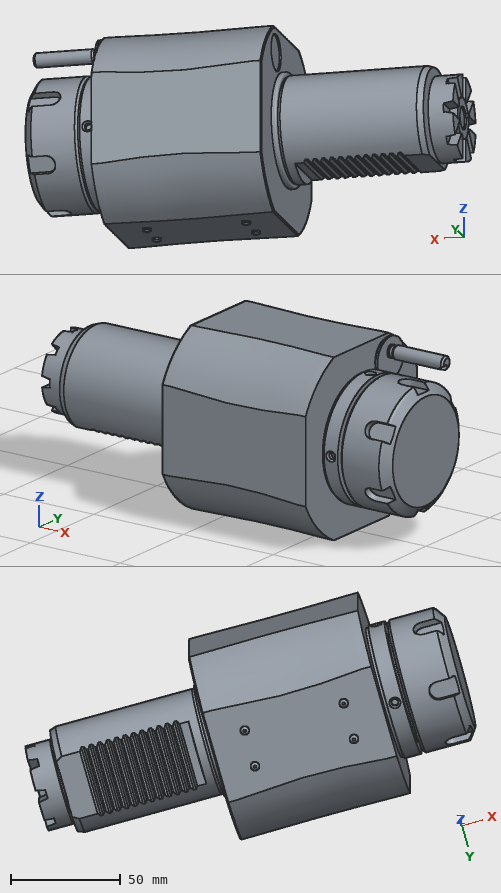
import cadquery as cq
import math

TOTAL_LENGTH = 200.0

COUPLING_RADIUS = 20.0
COUPLING_LENGTH = 11.6
COUPLING_NECK_RADIUS = 14.6
TOOTH_SLOTS = 8
SLOT_MOUTH_WIDTH = 5.6
SLOT_FLOOR_WIDTH = 4.0
SLOT_DEPTH = 4.5
HUB_RADIUS = 9.6
HUB_RECESS = 0.6
CENTRE_HOLE_RADIUS = 5.5
CENTRE_HOLE_DEPTH = 0.8

SHANK_START = 12.8
SHANK_END = 81.5
SHANK_RADIUS = 25.0
SHANK_LEAD_LENGTH = 3.0
SHANK_LEAD_DEPTH = 1.0
SHANK_END_BEVEL_LENGTH = 1.2
SHANK_END_BEVEL_DEPTH = 0.6
FLANGE_RADIUS = 26.8
FLANGE_ROUNDING = 1.0

RACK_FLAT_Z = -20.0
RACK_FLAT_END = 75.8
RACK_GROOVES = 12
RACK_PITCH = 4.0
FIRST_GROOVE_X = 26.0
GROOVE_MOUTH_WIDTH = 3.2
GROOVE_FLOOR_WIDTH = 1.0
GROOVE_DEPTH = 1.2

BODY_START = 83.8
BODY_END = 164.0
BODY_WIDTH = 88.0
BODY_CORNER_RADIUS = 49.0
BODY_WAIST_RADIUS = 48.2
BODY_END_BAND = 4.5
BODY_CHAMFER = 0.6

PLUG_Y = 18.5
PLUG_Z = 32.0
PLUG_RADIUS = 8.6
PLUG_RECESS = 0.8
WASHER_Y = 20.5
WASHER_Z = 32.6
WASHER_RADIUS = 10.5
WASHER_BACK_RADIUS = 9.6
WASHER_THICKNESS = 2.0
PIPE_Y = 20.8
PIPE_Z = 35.8
PIPE_RADIUS = 3.5
PIPE_NECK_RADIUS = 2.8
PIPE_ROOT_RADIUS = 3.2
PIPE_ROOT_END = 166.9
PIPE_START = 168.5
PIPE_END = 197.0
PIPE_BEVEL = 1.0
OUTLET_RADIUS = 1.8
OUTLET_DEPTH = 3.0

STUD_X = (100.7, 147.5)
STUD_Y = (-8.6, 8.6)
STUD_RADIUS = 2.0
STUD_TIP_RADIUS = 0.6
STUD_HEIGHT = 1.6

NUT_RADIUS = 31.5
COLLAR_NECK_RADIUS = 30.6
COLLAR_START = 165.5
COLLAR_END = 173.0
NUT_NECK_RADIUS = 25.6
NUT_START = 174.3
NUT_BACK_BEVEL = 1.2
NUT_EDGE_START = 196.0
NUT_CONE_START = 197.0
NUT_CONE_RADIUS = 30.5
NUT_FACE_RADIUS = 26.2
COLLAR_HOLES = 4
COLLAR_HOLE_X = (COLLAR_START + COLLAR_END) / 2
COLLAR_HOLE_RADIUS = 1.6
COLLAR_HOLE_MOUTH_RADIUS = 2.6
COLLAR_HOLE_DEPTH = 3.0
NUT_SLOTS = 6
NUT_SLOT_WIDTH = 8.5
NUT_SLOT_START = 185.7
LONG_SLOT_START = 183.3
LONG_SLOT_INDEX = 5
NUT_SLOT_FLOOR = 27.8

OVERLAP = 2.0


def turned(profile):
    """Solid of revolution about X from (x, radius) points that start and end on the axis."""
    return cq.Workplane("XY").polyline(profile).close().revolve(360, (0, 0, 0), (1, 0, 0))


def rod(start, end, radius, y=0.0, z=0.0):
    """Cylinder parallel to X."""
    return cq.Workplane("YZ", origin=(start, y, z)).circle(radius).extrude(end - start)


def about_axis(shape, angle):
    """Copy of a shape turned about X."""
    return shape.rotate((0, 0, 0), (1, 0, 0), angle)


def trapezoid(mouth, floor, depth):
    """Tapered groove section as (across, inward) points, carried past the mouth."""
    flare = (mouth - floor) / 2 * OVERLAP / depth
    outer = mouth / 2 + flare
    return [(-outer, -OVERLAP), (outer, -OVERLAP), (floor / 2, depth), (-floor / 2, depth)]


def make_coupling():
    coupling = rod(0, COUPLING_LENGTH, COUPLING_RADIUS)
    coupling = coupling.union(rod(COUPLING_LENGTH, SHANK_START + OVERLAP, COUPLING_NECK_RADIUS))
    section = [(inward, across) for across, inward in
               trapezoid(SLOT_MOUTH_WIDTH, SLOT_FLOOR_WIDTH, SLOT_DEPTH)]
    slot = cq.Workplane("XY").polyline(section).close().extrude(COUPLING_RADIUS + OVERLAP)
    slot = slot.cut(rod(-OVERLAP, SLOT_DEPTH + OVERLAP, HUB_RADIUS))
    for i in range(TOOTH_SLOTS):
        coupling = coupling.cut(about_axis(slot, i * 360 / TOOTH_SLOTS))
    coupling = coupling.cut(rod(0, HUB_RECESS, HUB_RADIUS))
    return coupling.cut(rod(0, HUB_RECESS + CENTRE_HOLE_DEPTH, CENTRE_HOLE_RADIUS))


def make_shank():
    bevel_start = SHANK_END - SHANK_END_BEVEL_LENGTH
    shank = turned([
        (SHANK_START, 0),
        (SHANK_START, SHANK_RADIUS - SHANK_LEAD_DEPTH),
        (SHANK_START + SHANK_LEAD_LENGTH, SHANK_RADIUS),
        (bevel_start, SHANK_RADIUS),
        (SHANK_END, SHANK_RADIUS - SHANK_END_BEVEL_DEPTH),
        (SHANK_END, 0),
    ])
    flat = cq.Workplane("XY").box(
        RACK_FLAT_END, 2 * SHANK_RADIUS, SHANK_RADIUS, centered=(False, True, False)
    ).translate((0, 0, RACK_FLAT_Z - SHANK_RADIUS))
    shank = shank.cut(flat)

    section = trapezoid(GROOVE_MOUTH_WIDTH, GROOVE_FLOOR_WIDTH, GROOVE_DEPTH)
    for i in range(RACK_GROOVES):
        groove_x = FIRST_GROOVE_X + i * RACK_PITCH
        groove = cq.Workplane("XZ", origin=(groove_x, 0, RACK_FLAT_Z)).polyline(section).close()
        shank = shank.cut(groove.extrude(SHANK_RADIUS, both=True))

    flange = rod(SHANK_END, BODY_START + OVERLAP, FLANGE_RADIUS)
    return shank.union(flange.faces("<X").edges().fillet(FLANGE_ROUNDING))


def make_body():
    """Square block whose corners are turned round and slightly waisted between two end bands."""
    middle = (BODY_START + BODY_END) / 2
    turned_corners = (
        cq.Workplane("XY")
        .moveTo(BODY_START, 0)
        .lineTo(BODY_START, BODY_CORNER_RADIUS)
        .lineTo(BODY_START + BODY_END_BAND, BODY_CORNER_RADIUS)
        .threePointArc((middle, BODY_WAIST_RADIUS), (BODY_END - BODY_END_BAND, BODY_CORNER_RADIUS))
        .lineTo(BODY_END, BODY_CORNER_RADIUS)
        .lineTo(BODY_END, 0)
        .close()
        .revolve(360, (0, 0, 0), (1, 0, 0))
    )
    block = cq.Workplane("XY").box(BODY_END - BODY_START, BODY_WIDTH, BODY_WIDTH).translate((middle, 0, 0))
    body = block.intersect(turned_corners).faces("<X").edges().chamfer(BODY_CHAMFER)
    return body.cut(rod(BODY_START, BODY_START + PLUG_RECESS, PLUG_RADIUS, PLUG_Y, PLUG_Z))


def make_studs():
    root_z = -BODY_WIDTH / 2
    profile = [
        (0, root_z + OVERLAP),
        (STUD_RADIUS, root_z + OVERLAP),
        (STUD_RADIUS, root_z - STUD_HEIGHT / 2),
        (STUD_TIP_RADIUS, root_z - STUD_HEIGHT),
        (0, root_z - STUD_HEIGHT),
    ]
    stud = cq.Workplane("XZ").polyline(profile).close().revolve(360, (0, 0, 0), (0, 1, 0))
    studs = cq.Workplane("XY")
    for x in STUD_X:
        for y in STUD_Y:
            studs = studs.add(stud.translate((x, y, 0)))
    return studs.combine()


def make_coolant_pipe():
    washer = turned([
        (BODY_END - OVERLAP, 0),
        (BODY_END - OVERLAP, WASHER_BACK_RADIUS),
        (BODY_END, WASHER_BACK_RADIUS),
        (BODY_END + WASHER_THICKNESS / 2, WASHER_RADIUS),
        (BODY_END + WASHER_THICKNESS, WASHER_RADIUS),
        (BODY_END + WASHER_THICKNESS, 0),
    ]).translate((0, WASHER_Y, WASHER_Z))
    pipe = turned([
        (BODY_END - OVERLAP, 0),
        (BODY_END - OVERLAP, PIPE_ROOT_RADIUS),
        (PIPE_ROOT_END, PIPE_ROOT_RADIUS),
        (PIPE_ROOT_END, PIPE_NECK_RADIUS),
        (PIPE_START, PIPE_NECK_RADIUS),
        (PIPE_START + PIPE_BEVEL, PIPE_RADIUS),
        (PIPE_END - PIPE_BEVEL, PIPE_RADIUS),
        (PIPE_END, PIPE_RADIUS - PIPE_BEVEL),
        (PIPE_END, 0),
    ]).translate((0, PIPE_Y, PIPE_Z))

    axis_distance = math.hypot(PIPE_Y, PIPE_Z)
    inward_y = -PIPE_Y / axis_distance
    inward_z = -PIPE_Z / axis_distance
    corner = cq.Vector(PIPE_END, PIPE_Y + PIPE_RADIUS * inward_y, PIPE_Z + PIPE_RADIUS * inward_z)
    outward = cq.Vector(1, inward_y, inward_z).normalized()
    outlet = cq.Solid.makeCylinder(
        OUTLET_RADIUS, OUTLET_DEPTH + OVERLAP, corner - outward * OUTLET_DEPTH, outward
    )
    return washer.union(pipe.cut(cq.Workplane(outlet)))


def make_spanner_slot(start):
    """Cutter with a flat floor and a round inner end, open towards the nut face."""
    half_width = NUT_SLOT_WIDTH / 2
    return (
        cq.Workplane("XY", origin=(0, 0, NUT_SLOT_FLOOR))
        .moveTo(TOTAL_LENGTH, -half_width)
        .lineTo(start + half_width, -half_width)
        .threePointArc((start, 0), (start + half_width, half_width))
        .lineTo(TOTAL_LENGTH, half_width)
        .close()
        .extrude(NUT_RADIUS - NUT_SLOT_FLOOR + OVERLAP)
    )


def make_collet_nut():
    nut = turned([
        (BODY_END - OVERLAP, 0),
        (BODY_END - OVERLAP, COLLAR_NECK_RADIUS),
        (COLLAR_START, COLLAR_NECK_RADIUS),
        (COLLAR_START, NUT_RADIUS),
        (COLLAR_END, NUT_RADIUS),
        (COLLAR_END, NUT_NECK_RADIUS),
        (NUT_START, NUT_NECK_RADIUS),
        (NUT_START, NUT_RADIUS - NUT_BACK_BEVEL),
        (NUT_START + NUT_BACK_BEVEL, NUT_RADIUS),
        (NUT_EDGE_START, NUT_RADIUS),
        (NUT_CONE_START, NUT_CONE_RADIUS),
        (TOTAL_LENGTH, NUT_FACE_RADIUS),
        (TOTAL_LENGTH, 0),
    ])

    hole_floor = NUT_RADIUS - COLLAR_HOLE_DEPTH
    sink_depth = COLLAR_HOLE_MOUTH_RADIUS - COLLAR_HOLE_RADIUS
    hole = cq.Workplane("XZ").polyline([
        (0, hole_floor),
        (COLLAR_HOLE_RADIUS, hole_floor),
        (COLLAR_HOLE_RADIUS, NUT_RADIUS - sink_depth),
        (COLLAR_HOLE_MOUTH_RADIUS, NUT_RADIUS),
        (0, NUT_RADIUS),
    ]).close().revolve(360, (0, 0, 0), (0, 1, 0)).translate((COLLAR_HOLE_X, 0, 0))
    for i in range(COLLAR_HOLES):
        nut = nut.cut(about_axis(hole, i * 360 / COLLAR_HOLES))

    for i in range(NUT_SLOTS):
        start = LONG_SLOT_START if i == LONG_SLOT_INDEX else NUT_SLOT_START
        nut = nut.cut(about_axis(make_spanner_slot(start), i * 360 / NUT_SLOTS))
    return nut


result = (
    make_body()
    .union(make_shank())
    .union(make_coupling())
    .union(make_collet_nut())
    .union(make_coolant_pipe())
    .union(make_studs())
)